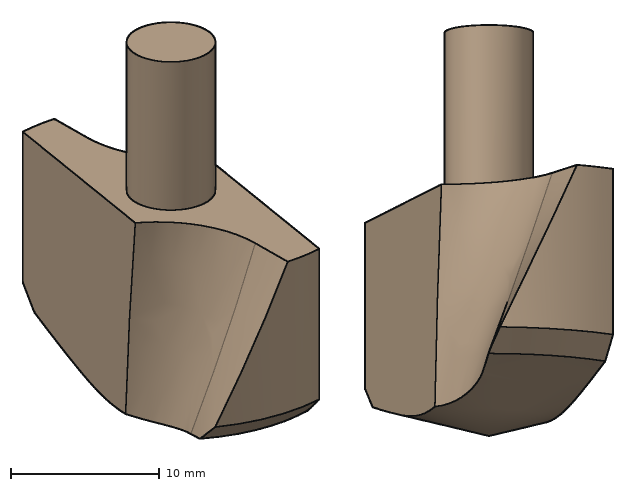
import cadquery as cq
import math

total_height = 27.6
shank_diameter = 6.0
head_diameter = 26.64
head_thickness = 8.97
head_top = 16.44

cylinder_bottom = 5.1
corner_bevel = 1.5
point_slope = 16.7

face_radius = 9.76
face_start_angle = 6.5
face_direction = 9.2
flute_radius = 8.3
twist_rate = 2.05


def polar(radius, degrees):
    """Point at a given distance and angle from the origin."""
    angle = math.radians(degrees)
    return radius * math.cos(angle), radius * math.sin(angle)


def shifted(point, radius, degrees):
    """Point moved by a given distance in a given direction."""
    dx, dy = polar(radius, degrees)
    return point[0] + dx, point[1] + dy


def make_head():
    """Revolved head with a conical point, cut down to two parallel flats."""
    radius = head_diameter / 2
    point_radius = radius - corner_bevel
    point_height = point_radius * math.tan(math.radians(point_slope))
    blank = (
        cq.Workplane("XZ")
        .moveTo(0, 0)
        .lineTo(point_radius, point_height)
        .lineTo(radius, cylinder_bottom)
        .lineTo(radius, head_top)
        .lineTo(0, head_top)
        .close()
        .revolve(360, (0, 0, 0), (0, 1, 0))
    )
    slab = cq.Workplane("XY").box(head_diameter, head_thickness, head_top, centered=(True, True, False))
    return blank.intersect(slab)


def make_flute():
    """Twisted cutter: a flat cutting face running tangentially into a round hollow."""
    face_start = polar(face_radius, face_start_angle)
    face_end = shifted(face_start, head_diameter / 2, face_direction)
    arc_start = face_direction + 90
    arc_end = 180
    center = shifted(face_start, -flute_radius, arc_start)
    hollow_middle = shifted(center, flute_radius, (arc_start + arc_end) / 2)
    hollow_end = shifted(center, flute_radius, arc_end)
    twist = twist_rate * head_top
    cutter = (
        cq.Workplane("XY")
        .moveTo(*face_end)
        .lineTo(*face_start)
        .threePointArc(hollow_middle, hollow_end)
        .lineTo(face_end[0], hollow_end[1])
        .close()
        .twistExtrude(head_top, twist)
    )
    return cutter.rotate((0, 0, 0), (0, 0, 1), -twist)


def make_shank():
    """Round shank standing on the head."""
    shank_length = total_height - head_top
    return cq.Workplane("XY").workplane(offset=head_top).circle(shank_diameter / 2).extrude(shank_length)


result = make_head()
flute = make_flute()
for turn in (0, 180):
    result = result.cut(flute.rotate((0, 0, 0), (0, 0, 1), turn))
result = result.union(make_shank())